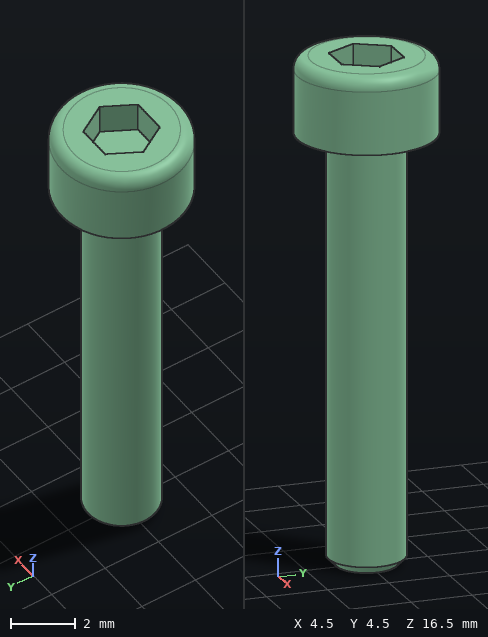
import cadquery as cq
import math

total_length = 16.5
head_diameter = 4.5
shank_diameter = 2.5
head_height = shank_diameter
shank_length = total_length - head_height

head_fillet = 0.45
tip_chamfer = 0.28

socket_across_flats = 2.05
socket_depth = 1.1
socket_across_corners = socket_across_flats / math.cos(math.radians(30))

shank = (
    cq.Workplane("XY")
    .circle(shank_diameter / 2)
    .extrude(shank_length)
    .faces("<Z")
    .chamfer(tip_chamfer)
)

head = (
    cq.Workplane("XY")
    .workplane(offset=shank_length)
    .circle(head_diameter / 2)
    .extrude(head_height)
    .faces(">Z")
    .fillet(head_fillet)
)

socket = (
    cq.Workplane("XY")
    .workplane(offset=total_length - socket_depth)
    .polygon(6, socket_across_corners)
    .extrude(socket_depth)
)

result = shank.union(head).cut(socket)